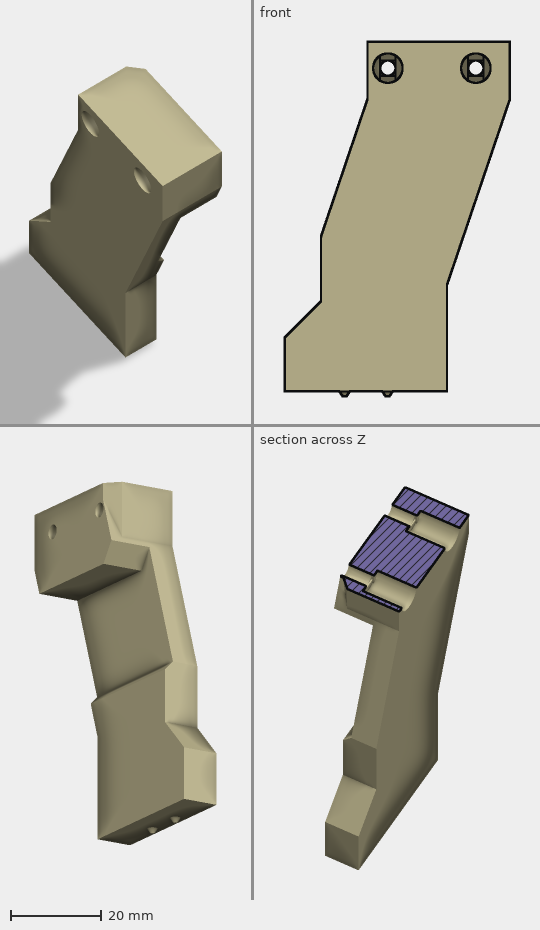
import cadquery as cq

total_width = 49.85
body_height = 77.4
foot_width = 35.95
foot_bevel = 8.0
foot_bevel_start = 11.9
foot_top = 34.2
head_width = 31.55
head_side_height = 12.8

arm_thickness = 6.35
foot_thickness = 8.5
head_thickness = 16.25

head_corner_chamfer = 3.1
pad_height = 18.8
pad_bevel_height = 4.6
pad_bevel_width = 3.3

screw_x = (22.85, 42.3)
screw_drop = 5.9
screw_diameter = 3.4
counterbore_diameter = 6.5
counterbore_depth = head_thickness - arm_thickness
relief_step = 0.3

pin_x = (13.3, 22.8)
pin_y = 2.4
pin_height = 1.1
pin_base_diameter = 2.35
pin_tip_diameter = 0.9

head_left = total_width - head_width
head_bottom = body_height - head_side_height
lean = (head_left - foot_bevel) / (head_bottom - foot_top)
right_lean_start = head_bottom - (total_width - foot_width) / lean
pad_bottom = body_height - pad_height
screw_z = body_height - screw_drop


def left_side_x(z):
    """X of the leaning left side, extended, at height z."""
    return head_left - lean * (head_bottom - z)


def extrude_back(points, thickness):
    """Extrude an XZ outline from the front face towards +Y."""
    return cq.Workplane("XZ").polyline(points).close().extrude(-thickness)


def make_arm(thickness):
    outline = [
        (0, 0),
        (foot_width, 0),
        (foot_width, right_lean_start),
        (total_width, head_bottom),
        (total_width, body_height),
        (head_left, body_height),
        (head_left, head_bottom),
        (foot_bevel, foot_top),
        (foot_bevel, foot_bevel_start + foot_bevel),
        (0, foot_bevel_start),
    ]
    return extrude_back(outline, thickness)


def make_foot():
    """Thicker lower part; its top rear edge slopes at 45 degrees to the arm."""
    step = foot_thickness - arm_thickness
    side_profile = [
        (0, 0),
        (foot_thickness, 0),
        (foot_thickness, foot_top - step),
        (arm_thickness, foot_top),
        (0, foot_top),
    ]
    envelope = cq.Workplane("YZ").polyline(side_profile).close().extrude(total_width)
    return make_arm(foot_thickness).intersect(envelope)


def make_head():
    """Full-depth head with its rear pad bevelled underneath on the left."""
    bevel_top = pad_bottom + pad_bevel_height
    bevel_left = left_side_x(bevel_top)
    outline = [
        (bevel_left, bevel_top),
        (bevel_left + pad_bevel_width, pad_bottom),
        (total_width - lean * (head_bottom - pad_bottom), pad_bottom),
        (total_width, head_bottom),
        (total_width, body_height),
        (head_left, body_height),
        (head_left, head_bottom),
    ]
    return extrude_back(outline, head_thickness)


def make_corner_cut():
    """Vertical chamfer on the rear left corner, stopping at the extended leaning side."""
    chamfer = (
        cq.Workplane("XY", origin=(0, 0, head_bottom))
        .moveTo(head_left, head_thickness - head_corner_chamfer)
        .lineTo(head_left + head_corner_chamfer, head_thickness)
        .lineTo(head_left, head_thickness)
        .close()
        .extrude(head_side_height)
    )
    above_lean = [
        (head_left, head_bottom),
        (left_side_x(body_height), body_height),
        (head_left, body_height),
    ]
    return chamfer.intersect(extrude_back(above_lean, head_thickness))


def make_screw_hole(x):
    """Counterbored hole whose floor steps from a slot to a square to the round hole."""
    front = cq.Workplane("XZ", origin=(x, 0, screw_z))
    counterbore = front.circle(counterbore_diameter / 2).extrude(-counterbore_depth)
    slot = (
        front.rect(screw_diameter, counterbore_diameter)
        .extrude(-(counterbore_depth + relief_step))
        .intersect(front.circle(counterbore_diameter / 2).extrude(-head_thickness))
    )
    square = front.rect(screw_diameter, screw_diameter).extrude(-(counterbore_depth + 2 * relief_step))
    through = front.circle(screw_diameter / 2).extrude(-head_thickness)
    return counterbore.union(slot).union(square).union(through)


def make_pin(x):
    pin = cq.Solid.makeCone(
        pin_base_diameter / 2,
        pin_tip_diameter / 2,
        pin_height,
        pnt=cq.Vector(x, pin_y, 0),
        dir=cq.Vector(0, 0, -1),
    )
    return cq.Workplane(pin)


result = make_arm(arm_thickness).union(make_foot()).union(make_head()).cut(make_corner_cut())
for x in screw_x:
    result = result.cut(make_screw_hole(x))
for x in pin_x:
    result = result.union(make_pin(x))